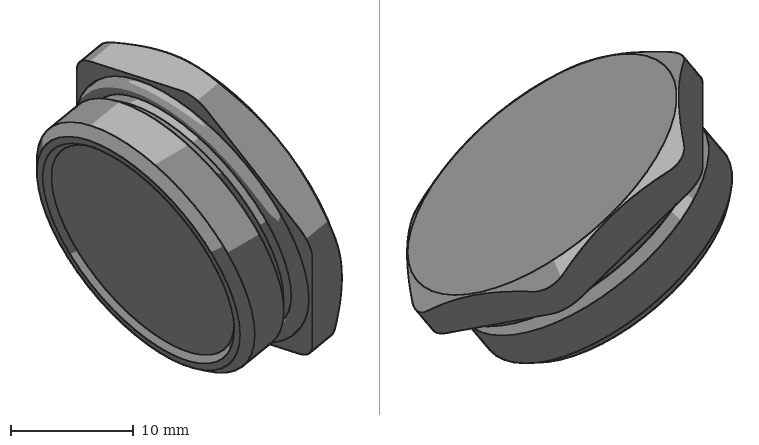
import cadquery as cq
import math

total_length = 10.0
head_thickness = 3.5
collar_thickness = 1.0
neck_length = 0.45
bevel = 0.85

across_flats = 27.0
across_corners = 30.25
collar_diameter = 26.25
collar_tube_radius = 0.75
body_diameter = 25.0
neck_diameter = body_diameter - 2 * bevel
recess_mouth_diameter = 21.93
recess_floor_diameter = 20.93
recess_depth = (recess_mouth_diameter - recess_floor_diameter) / 2
head_bevel_angle = 30.0
head_face_diameter = 26.75

back_y = total_length / 2
head_front_y = back_y - head_thickness
collar_front_y = head_front_y - collar_thickness
neck_front_y = collar_front_y - neck_length
front_y = -total_length / 2


def revolve_about_y(profile):
    """Turn a closed (radius, y) profile around the Y axis."""
    return profile.close().revolve(360, (0, 0, 0), (0, 1, 0))


def make_head():
    """Hexagon with rounded corners and a conical bevel on its back face."""
    sharp_corners = across_flats / math.cos(math.radians(30))
    tip_loss = (sharp_corners - across_corners) / 2
    corner_radius = tip_loss / (1 / math.cos(math.radians(30)) - 1)
    hexagon = (
        cq.Workplane("XZ", origin=(0, back_y, 0))
        .transformed(rotate=(0, 0, 90))
        .polygon(6, sharp_corners)
        .extrude(head_thickness)
        .edges("|Y")
        .fillet(corner_radius)
    )
    face_radius = head_face_diameter / 2
    outer_radius = sharp_corners / 2
    bevel_drop = (outer_radius - face_radius) * math.tan(math.radians(head_bevel_angle))
    bevelled_disc = revolve_about_y(
        cq.Workplane("XY")
        .moveTo(0, back_y)
        .lineTo(face_radius, back_y)
        .lineTo(outer_radius, back_y - bevel_drop)
        .lineTo(outer_radius, head_front_y)
        .lineTo(0, head_front_y)
    )
    return hexagon.intersect(bevelled_disc)


def make_collar():
    """O-ring shaped collar seated against the head and the neck."""
    tube_radius = collar_tube_radius
    centre_radius = collar_diameter / 2 - tube_radius
    centre_y = collar_front_y + tube_radius
    head_contact_radius = centre_radius + math.sqrt(tube_radius**2 - (head_front_y - centre_y) ** 2)
    neck_radius = neck_diameter / 2
    neck_contact_y = centre_y - math.sqrt(tube_radius**2 - (centre_radius - neck_radius) ** 2)
    arc_middle = (
        centre_radius + tube_radius * math.cos(math.radians(45)),
        centre_y - tube_radius * math.sin(math.radians(45)),
    )
    return revolve_about_y(
        cq.Workplane("XY")
        .moveTo(0, head_front_y)
        .lineTo(head_contact_radius, head_front_y)
        .threePointArc(arc_middle, (neck_radius, neck_contact_y))
        .lineTo(0, neck_contact_y)
    )


def make_plug():
    """Neck and bevelled plug body, running back to the head."""
    neck_radius = neck_diameter / 2
    body_radius = body_diameter / 2
    return revolve_about_y(
        cq.Workplane("XY")
        .moveTo(0, head_front_y)
        .lineTo(neck_radius, head_front_y)
        .lineTo(neck_radius, neck_front_y)
        .lineTo(body_radius, neck_front_y - bevel)
        .lineTo(body_radius, front_y + bevel)
        .lineTo(body_radius - bevel, front_y)
        .lineTo(0, front_y)
    )


def make_recess():
    """Tapered round recess in the front face."""
    floor_y = front_y + recess_depth
    return revolve_about_y(
        cq.Workplane("XY")
        .moveTo(0, front_y)
        .lineTo(recess_mouth_diameter / 2, front_y)
        .lineTo(recess_floor_diameter / 2, floor_y)
        .lineTo(0, floor_y)
    )


result = make_head().union(make_collar()).union(make_plug()).cut(make_recess())